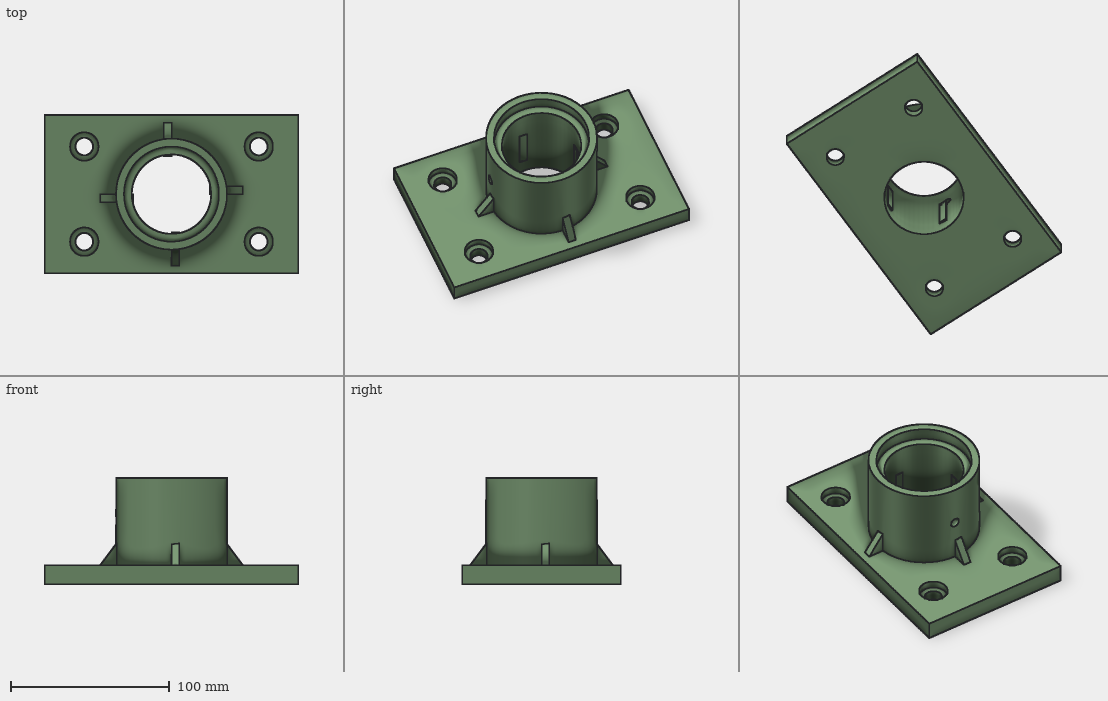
import cadquery as cq

PLATE_LENGTH = 160.0
PLATE_WIDTH = 100.0
PLATE_THICKNESS = 12.0

HOLE_SPACING_X = 110.0
HOLE_SPACING_Y = 60.0
HOLE_DIAMETER = 11.0
COUNTERBORE_DIAMETER = 18.0
COUNTERBORE_DEPTH = 5.0

TOTAL_HEIGHT = 67.0
SLEEVE_DIAMETER = 70.0
BORE_DIAMETER = 50.0
RECESS_DIAMETER = 60.0
RECESS_DEPTH = 8.0

SIDE_HOLE_DIAMETER = 6.0
SIDE_HOLE_HEIGHT = 40.0

RIB_COUNT = 4
RIB_THICKNESS = 5.0
RIB_TOE_RADIUS = 45.0
RIB_BORE_PROTRUSION = 1.0
RIB_HEIGHT = 28.0


def make_plate():
    plate = cq.Workplane("XY").box(
        PLATE_LENGTH, PLATE_WIDTH, PLATE_THICKNESS, centered=(True, True, False)
    )
    return (
        plate.faces(">Z")
        .workplane()
        .rect(HOLE_SPACING_X, HOLE_SPACING_Y, forConstruction=True)
        .vertices()
        .cboreHole(HOLE_DIAMETER, COUNTERBORE_DIAMETER, COUNTERBORE_DEPTH)
    )


def make_sleeve():
    sleeve_height = TOTAL_HEIGHT - PLATE_THICKNESS
    return (
        cq.Workplane("XY")
        .workplane(offset=PLATE_THICKNESS)
        .circle(SLEEVE_DIAMETER / 2)
        .extrude(sleeve_height)
    )


def cut_stepped_bore(body):
    return body.faces(">Z").workplane(origin=(0, 0, TOTAL_HEIGHT)).cboreHole(
        BORE_DIAMETER, RECESS_DIAMETER, RECESS_DEPTH
    )


def cut_side_hole(body):
    drill = (
        cq.Workplane("YZ")
        .center(0, SIDE_HOLE_HEIGHT)
        .circle(SIDE_HOLE_DIAMETER / 2)
        .extrude(-SLEEVE_DIAMETER)
    )
    return body.cut(drill)


def make_rib():
    inner_radius = BORE_DIAMETER / 2 - RIB_BORE_PROTRUSION
    return (
        cq.Workplane("XZ")
        .moveTo(inner_radius, PLATE_THICKNESS)
        .lineTo(RIB_TOE_RADIUS, PLATE_THICKNESS)
        .lineTo(inner_radius, PLATE_THICKNESS + RIB_HEIGHT)
        .close()
        .extrude(-RIB_THICKNESS)
    )


def add_ribs(body):
    rib = make_rib()
    for index in range(RIB_COUNT):
        angle = index * 360.0 / RIB_COUNT
        body = body.union(rib.rotate((0, 0, 0), (0, 0, 1), angle))
    return body


bracket = make_plate().union(make_sleeve())
bracket = cut_stepped_bore(bracket)
bracket = cut_side_hole(bracket)
result = add_ribs(bracket)